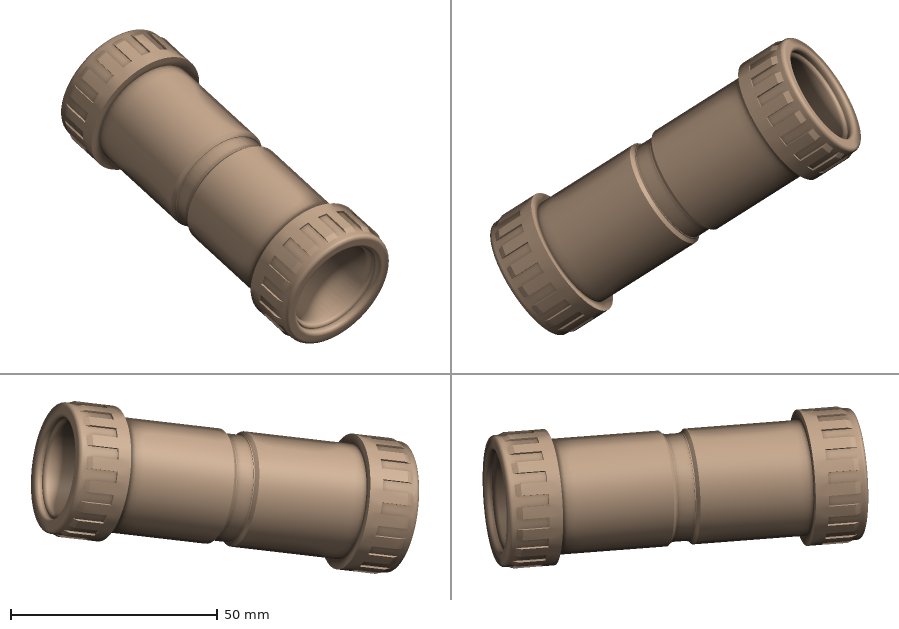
import cadquery as cq
import math

length = 89.2
half_length = length / 2

edge_round = 1.0

tube_radius = 14.1
bore_radius = 11.5

groove_radius = 13.1
groove_floor_width = 4.3
groove_top_width = 6.5
shoulder_radius = 13.3
shoulder_step = 0.3

collar_length = 13.3
collar_radius = 16.6
collar_base_radius = 16.1

mouth_radius = bore_radius + edge_round
mouth_depth = 1.8

rib_count = 18
rib_pitch = 360 / rib_count
rib_angle = 10.3
rib_start = 2.0
rib_ramp_length = 1.4
rib_end = 10.0


def annular_wedge(start, end, angle):
    """Wedge about the X axis, centred on +Z, between two places along X."""
    reach = 2 * collar_radius
    half_width = reach * math.tan(math.radians(angle / 2))
    return (
        cq.Workplane("YZ", origin=(start, 0, 0))
        .polyline([(0, 0), (half_width, reach), (-half_width, reach)])
        .close()
        .extrude(end - start)
    )


def revolve_about_x(profile):
    return profile.close().revolve(360, (0, 0, 0), (1, 0, 0))


def make_tube():
    tube = cq.Workplane("YZ", origin=(-half_length + rib_end, 0, 0)).circle(tube_radius)
    tube = tube.extrude(length - 2 * rib_end)
    floor = groove_floor_width / 2
    top = groove_top_width / 2
    groove = revolve_about_x(
        cq.Workplane("XY").polyline(
            [
                (-floor, groove_radius),
                (floor, groove_radius),
                (floor, shoulder_radius),
                (floor + shoulder_step, shoulder_radius),
                (top, tube_radius),
                (top, collar_radius),
                (-top, collar_radius),
                (-top, tube_radius),
                (-floor - shoulder_step, shoulder_radius),
                (-floor, shoulder_radius),
            ]
        )
    )
    return tube.cut(groove)


def make_collar():
    """Collar at the -X end."""
    base = cq.Workplane("YZ", origin=(-half_length, 0, 0)).circle(collar_base_radius)
    base = base.extrude(collar_length).faces("<X").edges().fillet(edge_round)
    band = cq.Workplane("YZ", origin=(rib_end - half_length, 0, 0)).circle(collar_radius)
    band = band.extrude(collar_length - rib_end)
    ramp_start = rib_start - half_length
    rib_ring = revolve_about_x(
        cq.Workplane("XY").polyline(
            [
                (ramp_start, tube_radius),
                (ramp_start, collar_base_radius),
                (ramp_start + rib_ramp_length, collar_radius),
                (rib_end - half_length, collar_radius),
                (rib_end - half_length, tube_radius),
            ]
        )
    )
    wedges = cq.Workplane("XY")
    for index in range(rib_count):
        wedge = annular_wedge(ramp_start, rib_end - half_length, rib_angle)
        wedges.add(wedge.rotate((0, 0, 0), (1, 0, 0), index * rib_pitch))
    ribs = rib_ring.intersect(wedges.combine())
    return base.union(band).union(ribs)


def make_mouth():
    """Counterbore with rounded edges at the -X end."""
    end = -half_length
    step = end + mouth_depth
    return revolve_about_x(
        cq.Workplane("XY")
        .moveTo(end, 0)
        .lineTo(end, mouth_radius + edge_round)
        .radiusArc((end + edge_round, mouth_radius), -edge_round)
        .lineTo(step, mouth_radius)
        .radiusArc((step + edge_round, bore_radius), -edge_round)
        .lineTo(step + edge_round, 0)
    )


collar = make_collar()
mouth = make_mouth()
bore = cq.Workplane("YZ", origin=(-half_length, 0, 0)).circle(bore_radius).extrude(length)
result = make_tube().union(collar).union(collar.mirror("YZ")).cut(bore)
result = result.cut(mouth).cut(mouth.mirror("YZ"))